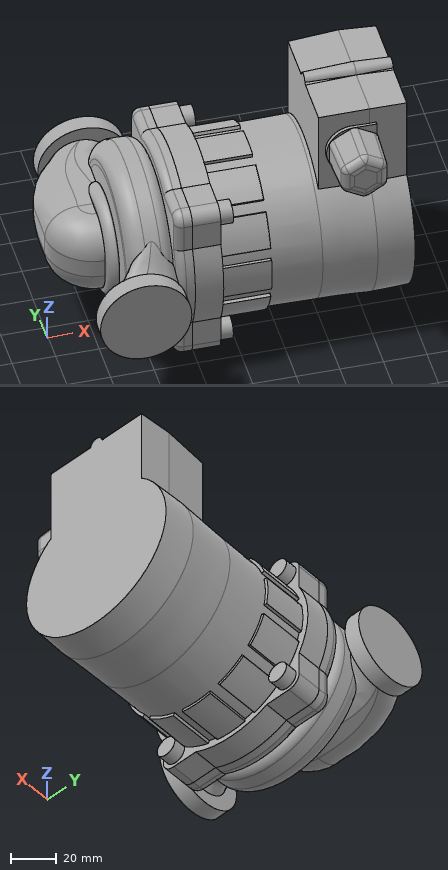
import cadquery as cq
import math


port_span = 120.0
port_flange_dia = 41.8
port_flange_thick = 8.2
port_flange_x = -26.1
port_face = port_span / 2 - port_flange_thick

flange_radius = 46.1
flange_half_square = 40.9
flange_corner_radius = 6.2
housing_flange_thick = 7.8
housing_flange_fillet = 3.8
motor_flange_thick = 13.0

volute_radius = 43.7
volute_front_round = 8.0
volute_back_round = 6.0
volute_crown = 7.0
volute_rim_radius = 33.3
volute_cone_rise = 0.8
collar_radius = 25.8
collar_height = 5.0
collar_round = 4.8
volute_front_x = -(housing_flange_thick + volute_back_round + volute_crown + volute_front_round)
volute_nose_x = volute_front_x - volute_cone_rise
collar_x = volute_nose_x - collar_height

inlet_tip_x = -56.5
inlet_corner_radius = 15.0
inlet_half_flat = 4.5
inlet_half_width = inlet_corner_radius + inlet_half_flat
inlet_axis_x = inlet_tip_x + inlet_half_width
inlet_end_x = -27.9
inlet_end_radius = 14.4
inlet_end_half_flat = 0.08
elbow_radius = collar_x - inlet_tip_x
elbow_y = elbow_radius - inlet_half_width

motor_end_x = 101.9
motor_waist_x = 35.8
motor_shoulder_x = 59.5
parting_x = 84.6
motor_radius = 41.8
motor_waist_radius = 41.5
motor_parting_radius = 42.6
rib_count = 12
rib_radius = 43.1
rib_width = 16.6
rib_length = 23.0
rib_root_radius = 38.0
bolt_offset = 33.6
bolt_radius = 5.4
bolt_height = 6.3

box_front_x = 61.3
box_half_width = 28.0
box_top_z = 74.6
box_floor_z = 23.8
box_draft = 2.4
spine_radius = 4.1
spine_top_z = 78.0

gland_x = 77.0
gland_z = 53.7
pad_radius = 12.5
pad_end_x = 87.6
pad_face_y = -29.3
pad_depth = 12.7
gland_half_flats = 11.2
gland_length = 21.4
gland_draft = 2.4
gland_round = 3.6
gland_crown_inset = 5.2
gland_crown_height = 0.6


def joint_flange(start_x, thickness):
    plane = cq.Workplane("YZ").workplane(offset=start_x)
    square = (
        plane.rect(2 * flange_half_square, 2 * flange_half_square)
        .extrude(thickness)
        .edges("|X")
        .fillet(flange_corner_radius)
    )
    return plane.circle(flange_radius).extrude(thickness).union(square)


def volute():
    back_x = -housing_flange_thick
    crown_back_x = back_x - volute_back_round
    crown_front_x = crown_back_x - volute_crown
    diagonal = math.sqrt(0.5)
    back_root = volute_radius - volute_back_round
    front_root = volute_radius - volute_front_round
    back_mid = (crown_back_x + volute_back_round * diagonal, back_root + volute_back_round * diagonal)
    front_mid = (crown_front_x - volute_front_round * diagonal, front_root + volute_front_round * diagonal)
    collar_mid = (
        collar_x + collar_round * (1 - diagonal),
        collar_radius - collar_round * (1 - diagonal),
    )
    return (
        cq.Workplane("XY")
        .moveTo(back_x, 0)
        .lineTo(back_x, back_root)
        .threePointArc(back_mid, (crown_back_x, volute_radius))
        .lineTo(crown_front_x, volute_radius)
        .threePointArc(front_mid, (volute_front_x, front_root))
        .lineTo(volute_front_x, volute_rim_radius)
        .lineTo(volute_nose_x, collar_radius)
        .lineTo(collar_x + collar_round, collar_radius)
        .threePointArc(collar_mid, (collar_x, collar_radius - collar_round))
        .lineTo(collar_x, 0)
        .close()
        .revolve(360, (0, 0, 0), (1, 0, 0))
    )


def port_flange(side):
    return (
        cq.Workplane("XZ", origin=(port_flange_x, side * port_face, 0))
        .circle(port_flange_dia / 2)
        .extrude(-side * port_flange_thick)
    )


def rounded_square_wire(center_x, y, half_flat, corner_radius):
    half = half_flat + corner_radius
    bulge = half_flat + corner_radius * math.sqrt(0.5)
    return (
        cq.Workplane("XZ", origin=(center_x, y, 0))
        .moveTo(-half_flat, half)
        .lineTo(half_flat, half)
        .threePointArc((bulge, bulge), (half, half_flat))
        .lineTo(half, -half_flat)
        .threePointArc((bulge, -bulge), (half_flat, -half))
        .lineTo(-half_flat, -half)
        .threePointArc((-bulge, -bulge), (-half, -half_flat))
        .lineTo(-half, half_flat)
        .threePointArc((-bulge, bulge), (-half_flat, half))
        .close()
        .val()
    )


def inlet_pipe():
    stations = [
        (inlet_end_x, port_face, inlet_end_half_flat, inlet_end_radius),
        (-33.7, 42.8, 1.3, inlet_end_radius),
        (-36.8, 31.7, 2.9, 14.7),
        (inlet_axis_x + 0.3, 19.8, inlet_half_flat, inlet_corner_radius),
        (inlet_axis_x, elbow_y, inlet_half_flat, inlet_corner_radius),
    ]
    return cq.Workplane(cq.Solid.makeLoft([rounded_square_wire(*station) for station in stations]))


def inlet_elbow():
    flat_reach = elbow_radius - inlet_corner_radius
    bulge = inlet_corner_radius * math.sqrt(0.5)
    return (
        cq.Workplane("XZ", origin=(collar_x, elbow_y, 0))
        .moveTo(0, -inlet_half_width)
        .lineTo(-flat_reach, -inlet_half_width)
        .threePointArc((-flat_reach - bulge, -inlet_half_flat - bulge), (-elbow_radius, -inlet_half_flat))
        .lineTo(-elbow_radius, inlet_half_flat)
        .threePointArc((-flat_reach - bulge, inlet_half_flat + bulge), (-flat_reach, inlet_half_width))
        .lineTo(0, inlet_half_width)
        .close()
        .revolve(90, (0, 0, 0), (0, 1, 0))
    )


def outlet_pipe():
    stations = [
        (-25.5, -port_face, 0.2, 14.1, 13.6),
        (-21.7, -44.8, 1.5, 14.9, 13.5),
        (-19.6, -40.9, 1.3, 13.3, 18.4),
        (-17.9, -36.3, 2.2, 10.8, 22.5),
        (-17.5, -28.5, 4.0, 8.7, 27.7),
    ]
    wires = [
        cq.Workplane("XZ", origin=(x, y, z)).ellipse(half_width, half_height).val()
        for x, y, z, half_width, half_height in stations
    ]
    return cq.Workplane(cq.Solid.makeLoft(wires))


def make_pump_housing():
    flange = (
        joint_flange(-housing_flange_thick, housing_flange_thick)
        .faces("<X")
        .edges()
        .fillet(housing_flange_fillet)
    )
    housing = flange.union(volute())
    for feature in (inlet_pipe(), inlet_elbow(), outlet_pipe(), port_flange(1), port_flange(-1)):
        housing = housing.union(feature)
    return housing


def motor_barrel():
    draft_ratio = (motor_parting_radius - motor_radius) / (parting_x - motor_shoulder_x)
    end_radius = motor_parting_radius - draft_ratio * (motor_end_x - parting_x)
    return (
        cq.Workplane("XY")
        .lineTo(0, motor_radius)
        .threePointArc((motor_waist_x, motor_waist_radius), (motor_shoulder_x, motor_radius))
        .lineTo(parting_x, motor_parting_radius)
        .lineTo(motor_end_x, end_radius)
        .lineTo(motor_end_x, 0)
        .close()
        .revolve(360, (0, 0, 0), (1, 0, 0))
    )


def motor_ribs():
    plane = cq.Workplane("YZ").workplane(offset=motor_flange_thick)
    spokes = plane.rect(rib_width, 2 * rib_radius).extrude(rib_length)
    for index in range(1, rib_count // 2):
        spoke = plane.rect(rib_width, 2 * rib_radius).extrude(rib_length)
        spokes = spokes.union(spoke.rotate((0, 0, 0), (1, 0, 0), index * 360 / rib_count))
    ring = plane.circle(rib_radius).circle(rib_root_radius).extrude(rib_length)
    return spokes.intersect(ring)


def bolt_heads():
    return (
        cq.Workplane("YZ")
        .workplane(offset=motor_flange_thick)
        .rect(2 * bolt_offset, 2 * bolt_offset, forConstruction=True)
        .vertices()
        .circle(bolt_radius)
        .extrude(bolt_height)
    )


def terminal_box():
    spine_z = spine_top_z - spine_radius
    spine_half_width = math.sqrt(spine_radius**2 - (box_top_z - spine_z) ** 2)

    def drafted_half(length):
        return (
            cq.Workplane("YZ")
            .workplane(offset=parting_x)
            .moveTo(-box_half_width, box_floor_z)
            .lineTo(box_half_width, box_floor_z)
            .lineTo(box_half_width, box_top_z)
            .lineTo(spine_half_width, box_top_z)
            .threePointArc((0, spine_top_z), (-spine_half_width, box_top_z))
            .lineTo(-box_half_width, box_top_z)
            .close()
            .extrude(length, taper=box_draft)
        )

    return drafted_half(box_front_x - parting_x).union(drafted_half(motor_end_x - parting_x))


def gland_pad():
    square_length = pad_end_x - gland_x
    return (
        cq.Workplane("XZ", origin=(gland_x, pad_face_y, gland_z))
        .moveTo(square_length, pad_radius)
        .lineTo(0, pad_radius)
        .threePointArc((-pad_radius, 0), (0, -pad_radius))
        .lineTo(square_length, -pad_radius)
        .close()
        .extrude(-pad_depth)
    )


def make_motor():
    motor = motor_barrel().union(joint_flange(0, motor_flange_thick))
    for feature in (motor_ribs(), bolt_heads(), terminal_box(), gland_pad()):
        motor = motor.union(feature)
    return motor


def make_gland():
    corner_dia = 2 * gland_half_flats / math.cos(math.radians(30))
    hexagon = (
        cq.Workplane("XZ", origin=(gland_x, pad_face_y, gland_z))
        .transformed(rotate=(0, 0, 30))
        .polygon(6, corner_dia)
        .extrude(gland_length, taper=gland_draft)
        .faces("<Y")
        .edges()
        .chamfer(gland_crown_height, gland_crown_inset)
    )
    reach = corner_dia
    bevel_limit_y = pad_face_y - gland_length + 0.75 * gland_crown_height
    base_limit_y = pad_face_y - gland_length / 4
    rounded_edges = cq.selectors.BoxSelector(
        (gland_x - reach, bevel_limit_y, gland_z - reach),
        (gland_x + reach, base_limit_y, gland_z + reach),
    )
    return hexagon.edges(rounded_edges).fillet(gland_round)


pump_housing = make_pump_housing()
motor = make_motor()
gland = make_gland()

result = cq.Compound.makeCompound([body.solids().val() for body in (pump_housing, motor, gland)])